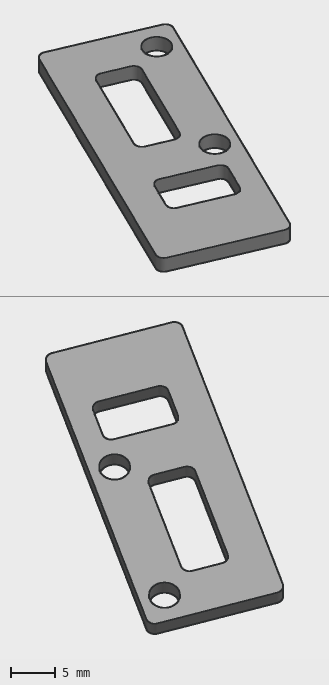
import cadquery as cq

plate_length = 39.5
plate_width = 16.2
plate_thickness = 2.0
corner_radius = 1.0

hole_diameter = 3.5
hole_y = 5.15
hole_x_positions = (-16.25, 2.5)

window_short_side = 5.53
long_window_length = 14.05
long_window_center = (-6.9, -0.65)
upright_window_length = 8.93
upright_window_center = (8.95, 0.6)


def rounded_block(size_x, size_y, center=(0, 0)):
    """Block of plate thickness with rounded vertical edges."""
    return (
        cq.Workplane("XY")
        .center(*center)
        .rect(size_x, size_y)
        .extrude(plate_thickness)
        .edges("|Z")
        .fillet(corner_radius)
    )


plate = rounded_block(plate_length, plate_width)

holes = (
    cq.Workplane("XY")
    .pushPoints([(x, hole_y) for x in hole_x_positions])
    .circle(hole_diameter / 2)
    .extrude(plate_thickness)
)

long_window = rounded_block(long_window_length, window_short_side, long_window_center)
upright_window = rounded_block(window_short_side, upright_window_length, upright_window_center)

result = plate.cut(holes).cut(long_window).cut(upright_window)